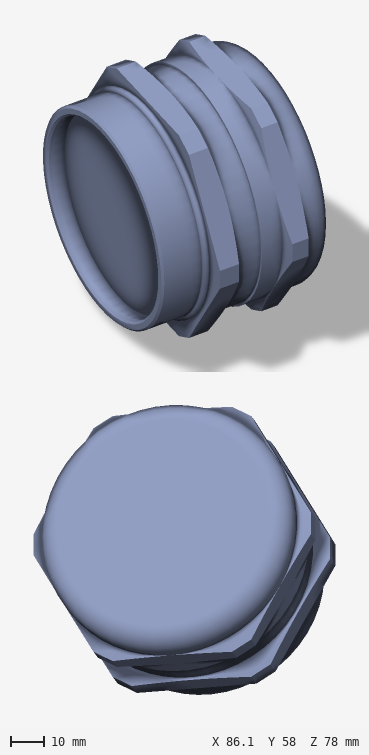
import cadquery as cq
import math


HEX_START = 16.0
HEX_END = 24.1
COLLAR_START = 33.05
NUT_HEX_START = 40.2
NUT_HEX_END = 48.1
OVERALL_LENGTH = 58.0

ACROSS_FLATS = 78.0
ACROSS_CORNERS = 86.1
HALF_SIDE_TURN = 30.0
INSCRIBED_RADIUS = ACROSS_FLATS / 2
BODY_BEVEL_ANGLE = 19.0
NUT_BEVEL_ANGLE = 15.0

SPIGOT_RADIUS = 36.0
NECK_RADIUS = 38.1
NUT_RADIUS = INSCRIBED_RADIUS
DOME_FILLET = 6.0

RECESS_RADIUS = 32.8
RECESS_DEPTH = 6.0
RIM_CHAMFER = 0.7

SEAL_CENTRE = 15.15
SEAL_SECTION_RADIUS = 1.4


def cylinder(radius, start, end):
    """Round bar on the Y axis between two stations."""
    plane = cq.Workplane("XZ", origin=(0, start, 0))
    return plane.circle(radius).extrude(start - end)


def hexagonal_prism(across_flats, start, end, turn):
    """Hexagonal prism on the Y axis, turned from having its flats at +X and -X."""
    plane = cq.Workplane("XZ", origin=(0, start, 0)).transformed(rotate=(0, 0, turn))
    return plane.polygon(6, across_flats, circumscribed=True).extrude(start - end)


def hexagon(start, end):
    """Hexagonal prism, flats at top and bottom, with every corner trimmed flat."""
    full_hex = hexagonal_prism(ACROSS_FLATS, start, end, HALF_SIDE_TURN)
    corner_trim = hexagonal_prism(ACROSS_CORNERS, start, end, 0)
    return full_hex.intersect(corner_trim)


def bevel(prism, face, inward, angle):
    """Turn the corners of a hexagon end down to a cone that meets the face at the flats."""
    outer_radius = ACROSS_CORNERS
    drop = (outer_radius - INSCRIBED_RADIUS) * math.tan(math.radians(angle))
    cutter = (
        cq.Workplane("XY")
        .moveTo(INSCRIBED_RADIUS, face)
        .lineTo(outer_radius, face)
        .lineTo(outer_radius, face + inward * drop)
        .close()
        .revolve(360, (0, 0, 0), (0, 1, 0))
    )
    return prism.cut(cutter)


def seal_ring():
    """O-ring of round section, centred on the spigot surface and partly sunk into the hexagon."""
    return (
        cq.Workplane("XY")
        .center(SPIGOT_RADIUS, SEAL_CENTRE)
        .circle(SEAL_SECTION_RADIUS)
        .revolve(360, (-SPIGOT_RADIUS, 0, 0), (-SPIGOT_RADIUS, 1, 0))
    )


def spigot():
    """Plain spigot with a chamfered rim around a blind recess."""
    bar = cylinder(SPIGOT_RADIUS, 0, HEX_START)
    recess = cylinder(RECESS_RADIUS, 0, RECESS_DEPTH)
    return bar.cut(recess).faces("<Y").chamfer(RIM_CHAMFER)


body_hex = bevel(hexagon(HEX_START, HEX_END), HEX_END, -1, BODY_BEVEL_ANGLE)
neck = cylinder(NECK_RADIUS, HEX_END, COLLAR_START)

nut_round = cylinder(NUT_RADIUS, COLLAR_START, OVERALL_LENGTH)
nut_round = nut_round.faces(">Y").edges().fillet(DOME_FILLET)
nut_hex = hexagon(NUT_HEX_START, NUT_HEX_END)
nut_hex = bevel(nut_hex, NUT_HEX_START, 1, NUT_BEVEL_ANGLE)
nut_hex = bevel(nut_hex, NUT_HEX_END, -1, NUT_BEVEL_ANGLE)

result = spigot()
for section in (seal_ring(), body_hex, neck, nut_round, nut_hex):
    result = result.union(section)